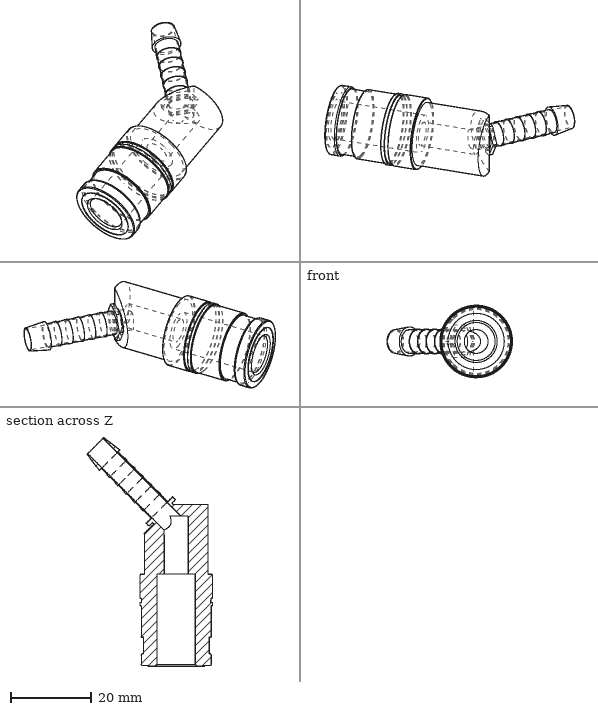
import cadquery as cq
import math

overall_length = 57.15

seal_face_radius = 7.05
seal_face_height = 0.2
flange_radius = 8.8
flange_chamfer = 0.25
flange_shoulder = 2.8
flange_end = 3.2
neck_radius = 8.3
neck_end = 7.2
sleeve_end = 15.05
collar_radius = 9.1
ring_end = 16.0
groove_radius = 8.7
groove_end = 16.9
collar_end = 23.05
edge_chamfer = 0.2
stem_radius = 8.0
body_length = 40.5

mouth_radius = 5.25
bore_radius = 4.75
bore_depth = collar_end
passage_radius = 3.0
passage_end = 37.55

barb_angle = 45.0
axis_crossing = 34.9
bevel_distance = 4.45
nut_start = 4.9
nut_end = 5.95
nut_across_flats = 8.1
washer_radius = 3.45
barb_radius = 3.0
barb_bore_radius = 2.7
head_length = 5.05
head_radius = 3.65
ridge_radius = 3.15
ridge_length = 1.5
ridge_pitch = 3.0
ridge_count = 5

tilt = math.radians(barb_angle)
barb_end = (overall_length - axis_crossing - barb_radius * math.sin(tilt)) / math.cos(tilt)
barb_direction = (-math.sin(tilt), math.cos(tilt), 0)


def barb_plane(distance):
    """Plane across the barb axis; its local X lies in the XY plane."""
    origin = (
        distance * barb_direction[0],
        axis_crossing + distance * barb_direction[1],
        0,
    )
    across = (barb_direction[1], -barb_direction[0], 0)
    return cq.Plane(origin=origin, xDir=across, normal=barb_direction)


def barb_cone(start, end, start_radius, end_radius):
    """Cone section along the barb axis."""
    profile = [(0, start), (start_radius, start), (end_radius, end), (0, end)]
    axis_plane = cq.Plane(origin=(0, axis_crossing, 0), xDir=barb_plane(0).xDir, normal=(0, 0, 1))
    return cq.Workplane(axis_plane).polyline(profile).close().revolve(360, (0, 0), (0, 1))


def barb_cylinder(start, end, radius):
    return cq.Workplane(barb_plane(start)).circle(radius).extrude(end - start)


def make_body():
    profile = [
        (0, 0),
        (seal_face_radius, 0),
        (seal_face_radius, seal_face_height),
        (flange_radius - flange_chamfer, seal_face_height),
        (flange_radius, seal_face_height + flange_chamfer),
        (flange_radius, flange_shoulder),
        (flange_radius - flange_chamfer, flange_end),
        (neck_radius, flange_end),
        (neck_radius, neck_end),
        (flange_radius - edge_chamfer, neck_end),
        (flange_radius, neck_end + edge_chamfer),
        (flange_radius, sleeve_end),
        (collar_radius - edge_chamfer, sleeve_end),
        (collar_radius, sleeve_end + edge_chamfer),
        (collar_radius, ring_end),
        (groove_radius, ring_end),
        (groove_radius, (ring_end + groove_end) / 2),
        (flange_radius, groove_end),
        (collar_radius - edge_chamfer, groove_end),
        (collar_radius, groove_end + edge_chamfer),
        (collar_radius, collar_end - edge_chamfer),
        (collar_radius - edge_chamfer, collar_end),
        (stem_radius, collar_end),
        (stem_radius, body_length),
        (0, body_length),
    ]
    body = cq.Workplane("XY").polyline(profile).close().revolve(360, (0, 0), (0, 1))
    bevel_size = 2 * body_length
    bevel = cq.Workplane(barb_plane(bevel_distance)).rect(bevel_size, bevel_size).extrude(body_length)
    return body.cut(bevel)


def make_barb():
    head_start = barb_end - head_length
    barb = barb_cylinder(0, head_start, barb_radius)
    barb = barb.union(barb_cone(head_start, barb_end, head_radius, barb_radius))
    barb = barb.union(barb_cylinder(bevel_distance, nut_start, washer_radius))
    nut_across_corners = nut_across_flats / math.cos(math.pi / 6)
    nut = cq.Workplane(barb_plane(nut_start)).polygon(6, nut_across_corners).extrude(nut_end - nut_start)
    barb = barb.union(nut)
    for index in range(ridge_count):
        ridge_start = head_start - (index + 1) * ridge_pitch
        ridge_end = ridge_start + ridge_length
        barb = barb.union(barb_cone(ridge_start, ridge_end, ridge_radius, barb_radius))
    return barb


def make_body_bore():
    profile = [
        (0, 0),
        (mouth_radius, 0),
        (bore_radius, mouth_radius - bore_radius),
        (bore_radius, bore_depth),
        (passage_radius, bore_depth),
        (passage_radius, passage_end),
        (0, passage_end),
    ]
    return cq.Workplane("XY").polyline(profile).close().revolve(360, (0, 0), (0, 1))


result = make_body().union(make_barb())
result = result.cut(make_body_bore()).cut(barb_cylinder(0, barb_end, barb_bore_radius))